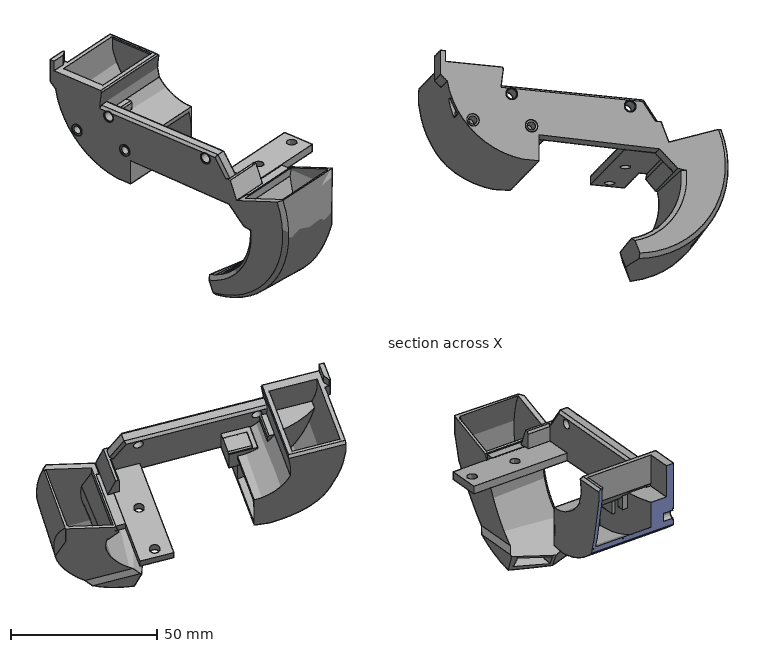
import cadquery as cq


total_length = 104.4
total_height = 68.4
tab_reach = 44.2

plate_thickness = 4.9
plate_top = 58.0
plate_left = 20.9
plate_edge_chamfer = 0.9
plate_slope_top_x = 73.0
plate_slope_end = (78.2, 50.5)
plate_shoulder = (79.1, 50.5)
plate_notch = (81.9, 43.4)
plate_bottom_left = (35.4, 41.3)
plate_bottom_right = (78.5, 40.6)
clearance_diameter = 3.5
plate_holes = [(25.6, 55.2), (68.1, 55.0)]
hole_rim_diameter = 4.2
hole_rim_depth = 0.3

inlet_left = 1.9
inlet_right = 22.2
inlet_top = 64.5
inlet_back = 31.5
inlet_chamfer = 0.9
outlet_x = plate_bottom_left[0]
outlet_bottom = 31.9
outlet_top = 47.0
guide_top = 52.2
duct_back = 34.7
duct_wall = 1.6
duct_front_wall = 3.1
inlet_straight_bottom = 59.5
recess_end = 6.8
pilot_diameter = 2.9
pilot_rim_diameter = 4.4
pilot_depth = 4.2
pilot_holes = [(11.7, 44.4), (32.7, 44.4)]

flange_thickness = 1.8
flange_depth = 7.2
flange_bottom = 59.6

block_depth = 14.1
block_left = 29.9
block_right = 38.5
block_top = 49.7
step_left = 28.1
step_top = 49.2
step_depth = 7.2
post_left = 21.9
post_right = 24.6
post_bottom = 45.9
post_top = 54.3

tab_left = 67.5
tab_right = 79.7
tab_bottom = 40.8
tab_thickness = 3.0
tab_hole_x = 73.4
tab_hole_y = [22.7, 40.7]
gusset_right = 83.5
gusset_thickness = 2.7
gusset_back = 27.5

horn_back = 28.2
horn_wall = 1.0
horn_front_wall = 2.1
horn_inlet_left = (83.3, 43.9)
horn_inlet_heel = (81.9, 38.6)
horn_throat = (85.1, 34.2)
horn_outer_middle = (95.8, 14.5)
horn_inner_middle = (82.8, 17.7)
passage_inlet_left = (84.0, 45.3)
passage_inlet_right = (100.0, 51.1)
passage_heel = (84.0, 41.2)
horn_tip = (67.2, 5.5)
horn_tip_tilt = 22
horn_edge_chamfer = 1.5


def extrude_xz(sketch, y_start, y_end):
    """Extrude a closed XZ outline from y_start to y_end."""
    return sketch.extrude(-(y_end - y_start)).translate((0, y_start, 0))


def polygon_xz(points, y_start, y_end):
    return extrude_xz(cq.Workplane("XZ").polyline(points).close(), y_start, y_end)


def box(x_range, y_range, z_range):
    size = [high - low for low, high in (x_range, y_range, z_range)]
    corner = (x_range[0], y_range[0], z_range[0])
    return cq.Workplane("XY").box(*size, centered=False).translate(corner)


def cylinder_y(center, diameter, y_start, y_end):
    x, z = center
    return extrude_xz(cq.Workplane("XZ").center(x, z).circle(diameter / 2), y_start, y_end)


def make_plate():
    plate = polygon_xz(
        [
            (plate_left, plate_top),
            (plate_slope_top_x, plate_top),
            plate_slope_end,
            plate_shoulder,
            plate_notch,
            horn_inlet_left,
            (87.7, 41.8),
            horn_throat,
            plate_bottom_right,
            plate_bottom_left,
            (plate_left, plate_bottom_left[1]),
        ],
        0,
        plate_thickness,
    )
    top_middle = ((plate_left + plate_slope_top_x) / 2, plate_top)
    slope_middle = (
        (plate_slope_top_x + plate_slope_end[0]) / 2,
        (plate_top + plate_slope_end[1]) / 2,
    )
    for y in (0, plate_thickness):
        for x, z in (top_middle, slope_middle):
            edge = cq.selectors.NearestToPointSelector((x, y, z))
            plate = plate.edges(edge).chamfer(plate_edge_chamfer)
    return plate


def left_duct_outer():
    outline = (
        cq.Workplane("XZ")
        .moveTo(inlet_left, inlet_top)
        .lineTo(inlet_right, inlet_top)
        .lineTo(22.5, 63.8)
        .lineTo(21.8, plate_top)
        .lineTo(22.1, 54.3)
        .threePointArc((26.9, 49.3), (outlet_x, outlet_top))
        .lineTo(outlet_x, outlet_bottom)
        .lineTo(29.4, outlet_bottom)
        .threePointArc((11.1, 40.8), (2.4, 57.4))
        .lineTo(inlet_left, inlet_straight_bottom)
        .close()
    )
    return extrude_xz(outline, 0, duct_back + 1)


def left_duct_inner():
    outline = (
        cq.Workplane("XZ")
        .moveTo(inlet_left + duct_wall, inlet_top + 1)
        .lineTo(inlet_right - duct_wall, inlet_top + 1)
        .lineTo(inlet_right - duct_wall, 53.2)
        .threePointArc((25.9, 47.9), (outlet_x + 1, outlet_top - duct_wall))
        .lineTo(outlet_x + 1, outlet_bottom + duct_wall)
        .lineTo(29.4, outlet_bottom + duct_wall)
        .threePointArc((12.1, 42.0), (3.8, 57.4))
        .lineTo(inlet_left + duct_wall, inlet_straight_bottom)
        .close()
    )
    return extrude_xz(outline, duct_front_wall, duct_back + 1)


def left_duct_depth(inset):
    """YZ envelope whose back bulges below the straight inlet."""
    return (
        cq.Workplane("YZ")
        .moveTo(0, inlet_top + inset)
        .lineTo(inlet_back - inlet_chamfer - inset, inlet_top + inset)
        .lineTo(inlet_back - inset, inlet_top - inlet_chamfer)
        .lineTo(inlet_back - inset, inlet_straight_bottom)
        .lineTo(33.5 - inset, 45.4)
        .threePointArc((duct_back - inset, 37.6), (33.9 - inset, outlet_bottom))
        .lineTo(0, outlet_bottom)
        .close()
        .extrude(total_length)
    )


def left_duct_guide():
    """Solid filling that sweeps the air towards the back of the outlet."""
    guide = (
        cq.Workplane("XY")
        .moveTo(inlet_left, 0)
        .lineTo(inlet_left, 3.8)
        .lineTo(3.5, 4.8)
        .threePointArc((9.6, 8.7), (20.6, 11.9))
        .lineTo(outlet_x, block_depth)
        .lineTo(outlet_x, 0)
        .close()
        .extrude(guide_top - outlet_bottom)
        .translate((0, 0, outlet_bottom))
    )
    return guide.intersect(left_duct_outer())


def make_left_duct():
    cavity = left_duct_inner().intersect(left_duct_depth(duct_wall))
    duct = left_duct_outer().intersect(left_duct_depth(0)).cut(cavity)
    outlet_taper = (
        cq.Workplane("XY")
        .polyline([(23.8, 34.8), (outlet_x, 33.3), (outlet_x, 35.5), (23.8, 35.5)])
        .close()
        .extrude(total_height)
    )
    return duct.union(left_duct_guide()).cut(outlet_taper)


def make_side_recess():
    """Small recess in the left side, just behind the front wall."""
    recess = [(1.6, 46.5), (5.6, 46.5), (3.9, 50.6), (2.9, 52.0), (1.6, 52.0)]
    return cq.Workplane("YZ").polyline(recess).close().extrude(recess_end)


def make_flange():
    flange = polygon_xz(
        [
            (0, total_height),
            (flange_thickness, total_height),
            (flange_thickness, inlet_top),
            (3.4, inlet_top),
            (3.4, 57.4),
            (2.4, 57.4),
            (0, flange_bottom),
        ],
        0,
        flange_depth,
    )
    corner = (
        cq.Workplane("XY")
        .polyline([(flange_thickness, 5.0), (0.5, flange_depth), (flange_thickness, flange_depth)])
        .close()
        .extrude(total_height - inlet_top)
        .translate((0, 0, inlet_top))
    )
    return flange.cut(corner)


def make_blocks():
    bottom = plate_bottom_left[1]
    step = box((step_left, block_right), (0, block_depth), (bottom, step_top))
    block = box((block_left, block_right), (step_depth, block_depth), (bottom, block_top))
    block = block.edges(">Y and >Z").chamfer(plate_edge_chamfer)
    post = box((post_left, post_right), (0, block_depth), (post_bottom, post_top))
    horn_root = polygon_xz(
        [(77.7, 40.8), (77.7, 49.6), plate_slope_end, plate_shoulder, plate_notch, (83.3, 40.8)],
        0,
        block_depth,
    )
    return block.union(step).union(post).union(horn_root)


def make_tab():
    z_range = (tab_bottom, tab_bottom + tab_thickness)
    tab = box((tab_left, tab_right), (0, tab_reach), z_range)
    for y in tab_hole_y:
        hole = cq.Workplane("XY").center(tab_hole_x, y).circle(clearance_diameter / 2)
        tab = tab.cut(hole.extrude(total_height))
    gusset_z = (tab_bottom, tab_bottom + gusset_thickness)
    return tab.union(box((tab_right, gusset_right), (0, gusset_back), gusset_z))


def horn_back_bevel():
    """Cutter for the upright bevel on the outer back corner of the horn."""
    corners = [(101.4, 28.0), (105.2, 23.0), (105.4, horn_back + 1), (101.4, horn_back + 1)]
    return cq.Workplane("XY").polyline(corners).close().extrude(total_height)


def horn_outer():
    """Curved horn whose outer side widens and tip sinks from front to back."""
    front = (
        cq.Workplane("XZ")
        .moveTo(*horn_inlet_left)
        .lineTo(101.0, 50.3)
        .threePointArc(horn_outer_middle, (69.8, 0.6))
        .lineTo(67.2, 6.9)
        .lineTo(68.8, 7.8)
        .threePointArc(horn_inner_middle, (86.6, 34.0))
        .lineTo(*horn_throat)
        .lineTo(*horn_inlet_heel)
        .close()
    )
    horn = (
        front.workplane(offset=-horn_back)
        .moveTo(*horn_inlet_left)
        .lineTo(101.5, 50.5)
        .threePointArc((97.5, 14.2), (67.8, -0.9))
        .lineTo(67.2, 1.6)
        .lineTo(76.7, 9.3)
        .threePointArc(horn_inner_middle, (85.6, 34.0))
        .lineTo(*horn_throat)
        .lineTo(*horn_inlet_heel)
        .close()
        .loft(ruled=True)
    )
    for x, z in (horn_outer_middle, horn_inner_middle):
        edge = cq.selectors.NearestToPointSelector((x, 0, z))
        horn = horn.edges(edge).chamfer(horn_edge_chamfer)
    return horn.cut(horn_back_bevel())


def horn_depth():
    """YZ envelope of the waisted back of the horn."""
    return (
        cq.Workplane("YZ")
        .moveTo(0, -1)
        .lineTo(23.9, -1)
        .lineTo(24.4, 7.3)
        .lineTo(23.0, 9.4)
        .threePointArc((23.0, 18.8), (24.7, 31.3))
        .lineTo(horn_back, 43.4)
        .lineTo(horn_back, 52.2)
        .lineTo(0, 52.2)
        .close()
        .extrude(total_length)
    )


def horn_inner():
    """Air passage from the sloping inlet to the small slot at the tip."""
    passage = (
        cq.Workplane("XZ")
        .moveTo(*passage_inlet_left)
        .lineTo(*passage_inlet_right)
        .threePointArc((95.5, 15.2), (66.8, 1.1))
        .lineTo(65.5, 4.8)
        .lineTo(68.4, 6.6)
        .threePointArc((83.7, 17.1), (87.7, 35.0))
        .lineTo(*passage_heel)
        .close()
        .workplane(offset=-horn_back)
        .moveTo(*passage_inlet_left)
        .lineTo(*passage_inlet_right)
        .threePointArc((96.0, 15.2), (69.4, 1.1))
        .lineTo(69.3, 2.1)
        .lineTo(76.7, 7.9)
        .threePointArc((83.9, 17.1), (86.8, 35.0))
        .lineTo(*passage_heel)
        .close()
        .loft(ruled=True)
    )
    depth = (
        cq.Workplane("YZ")
        .moveTo(horn_front_wall, 54.3)
        .lineTo(horn_front_wall, 25.0)
        .threePointArc((3.8, 14.6), (10.8, 6.3))
        .lineTo(10.8, 0)
        .lineTo(22.9, 0)
        .lineTo(21.8, 9.4)
        .threePointArc((21.8, 18.8), (23.7, 31.3))
        .lineTo(horn_back - horn_wall, 43.4)
        .lineTo(horn_back - horn_wall, 54.3)
        .close()
        .extrude(total_length)
    )
    bevel = horn_back_bevel().translate((-2 * horn_wall, 0, 0))
    return passage.intersect(depth).cut(bevel)


def horn_tip_bevel():
    """Cutter that slants the tip away on both sides of its foremost corner."""
    corners = [(-6.3, -1.0), (3.0, -1.0), (0, 9.7), (7.7, 29.2), (-6.3, 29.2)]
    wedge = cq.Workplane("XY").polyline(corners).close()
    cutter = wedge.extrude(20.9, both=True).rotate((0, 0, 0), (0, 1, 0), -horn_tip_tilt)
    return cutter.translate((horn_tip[0], 0, horn_tip[1]))


def make_horn():
    return horn_outer().intersect(horn_depth()).cut(horn_inner()).cut(horn_tip_bevel())


def cut_front_holes(body):
    for center in plate_holes:
        body = body.cut(cylinder_y(center, clearance_diameter, 0, block_depth + 1))
        body = body.cut(cylinder_y(center, hole_rim_diameter, 0, hole_rim_depth))
    for center in pilot_holes:
        body = body.cut(cylinder_y(center, pilot_diameter, 0, pilot_depth))
        body = body.cut(cylinder_y(center, pilot_rim_diameter, 0, hole_rim_depth))
    return body


left_side = make_left_duct().union(make_flange()).cut(make_side_recess())
plate_side = make_plate().union(make_blocks()).union(make_tab())
right_side = make_horn()
plate_side = plate_side.cut(horn_inner())
result = cut_front_holes(plate_side.union(left_side).union(right_side))